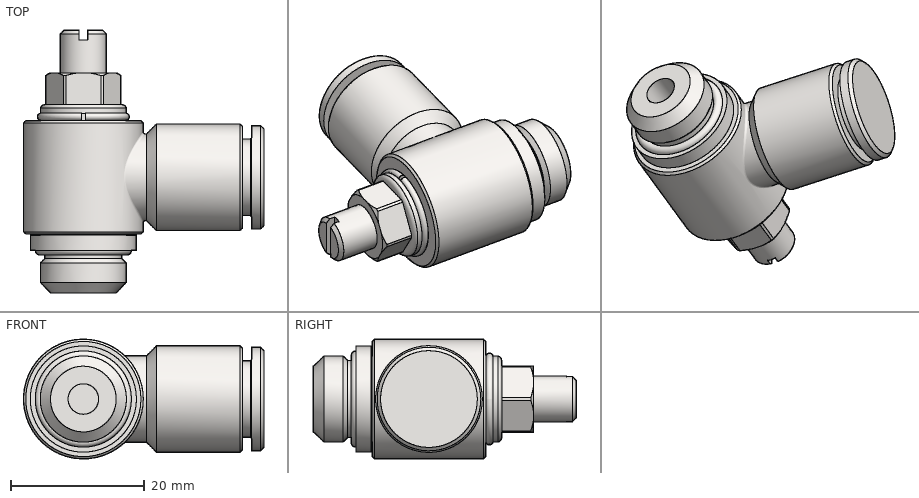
import cadquery as cq
import math


barrel_radius = 9.0
barrel_half_length = 8.55
barrel_chamfer = 0.35

elbow_radius = 6.5
elbow_fillet = 0.3
port_radius = 8.02
port_start = 9.5
port_end = 23.95
port_chamfer = 0.4
collar_neck_radius = 5.75
collar_root_radius = 5.95
collar_root_start = 25.1
collar_start = 25.3
collar_radius = 7.8
collar_end = 27.15
collar_chamfer = 0.5

shank_radius = 6.48
groove_radius = 5.8

tip_end = -17.4
tip_end_radius = 4.95
tip_chamfer_top = -15.75
tip_shoulder = -12.9
tip_hole_radius = 2.3
tip_hole_depth = 4.75

flange_radius = 8.0
flange_top = -8.7
flange_bottom = -11.0
bead_radius = 0.7

ring_section_radius = 0.55
ring_outer_radius = 6.9
ring_gap = 0.6
ring_neck_radius = 6.12
shoulder_bottom = 9.55
shoulder_top = 10.95
shoulder_round_length = 0.55
shoulder_top_radius = 5.73

hex_across_flats = 10.0
hex_corner_radius = 5.65
hex_top = 15.7
hex_chamfer_radius = 5.05
hex_chamfer_length = 0.4
screw_radius = 3.48
screw_chamfer = 0.6
screw_end = 22.13
slot_width = 1.25
slot_depth = 1.45


def cylinder_along_y(radius, y_start, y_end):
    """Cylinder on the stem axis between two Y stations."""
    return cq.Workplane("XZ", origin=(0, y_start, 0)).circle(radius).extrude(y_start - y_end)


def make_barrel():
    barrel = cylinder_along_y(barrel_radius, -barrel_half_length, barrel_half_length)
    return barrel.faces("<Y or >Y").edges().chamfer(barrel_chamfer)


def make_elbow():
    """Cylindrical neck from the barrel centre out to the port."""
    return cq.Workplane("YZ").circle(elbow_radius).extrude(port_start)


def make_port():
    """Port with a conical back, followed by the grooved release collar."""
    profile = [
        (port_start, 0),
        (port_start, elbow_radius),
        (port_start + port_radius - elbow_radius, port_radius),
        (port_end - port_chamfer, port_radius),
        (port_end, port_radius - port_chamfer),
        (port_end, collar_neck_radius),
        (collar_root_start, collar_neck_radius),
        (collar_start, collar_root_radius),
        (collar_start, collar_radius),
        (collar_end - collar_chamfer, collar_radius),
        (collar_end, collar_radius - collar_chamfer),
        (collar_end, 0),
    ]
    return cq.Workplane("XY").polyline(profile).close().revolve(360, (0, 0, 0), (1, 0, 0))


def make_housing():
    body = make_barrel().union(make_elbow())
    junction = cq.selectors.BoxSelector(
        (elbow_radius / 2, -barrel_half_length, -barrel_radius),
        (port_start - elbow_fillet / 2, barrel_half_length, barrel_radius),
    )
    body = body.edges(junction).edges("(not %CIRCLE) and (not %LINE)").fillet(elbow_fillet)
    bore = cylinder_along_y(shank_radius, -barrel_half_length, barrel_half_length)
    return body.union(make_port()).cut(bore).solids()


def make_turned_stem():
    """Revolved core of the stem, from the threaded tip to the shoulder."""
    bead_centre = groove_radius + bead_radius
    return (
        cq.Workplane("XY")
        .moveTo(0, shoulder_top)
        .lineTo(shoulder_top_radius, shoulder_top)
        .tangentArcPoint((shank_radius, shoulder_top - shoulder_round_length), relative=False)
        .lineTo(shank_radius, shoulder_bottom)
        .lineTo(ring_neck_radius, shoulder_bottom)
        .lineTo(ring_neck_radius, barrel_half_length)
        .lineTo(shank_radius, barrel_half_length)
        .lineTo(shank_radius, flange_top)
        .lineTo(flange_radius, flange_top)
        .lineTo(flange_radius, flange_bottom)
        .lineTo(bead_centre + bead_radius, flange_bottom)
        .threePointArc((bead_centre, flange_bottom - bead_radius), (groove_radius, flange_bottom))
        .lineTo(groove_radius, tip_shoulder + shank_radius - groove_radius)
        .lineTo(shank_radius, tip_shoulder)
        .lineTo(shank_radius, tip_chamfer_top)
        .lineTo(tip_end_radius, tip_end)
        .lineTo(0, tip_end)
        .close()
        .revolve(360, (0, 0, 0), (0, 1, 0))
    )


def make_retaining_ring():
    """Round-section ring seated on the barrel under the shoulder, split on the +Z side."""
    section_centre = ring_outer_radius - ring_section_radius
    ring_y = barrel_half_length + ring_section_radius
    ring = (
        cq.Workplane("XY")
        .center(section_centre, ring_y)
        .circle(ring_section_radius)
        .revolve(360, (-section_centre, 0, 0), (-section_centre, 1, 0))
    )
    gap = cq.Workplane("XY", origin=(0, ring_y, 0)).rect(ring_gap, 2 * ring_section_radius)
    return ring.cut(gap.extrude(ring_outer_radius))


def make_hexagon():
    """Hexagon with flats on +Z and -Z, corners turned to a cylinder and a chamfered top."""
    across_corners = hex_across_flats / math.cos(math.pi / 6)
    length = hex_top - shoulder_top
    prism = cq.Workplane("XZ", origin=(0, shoulder_top, 0)).polygon(6, across_corners).extrude(-length)
    envelope = [
        (0, shoulder_top),
        (hex_corner_radius, shoulder_top),
        (hex_corner_radius, hex_top - hex_chamfer_length),
        (hex_chamfer_radius, hex_top),
        (0, hex_top),
    ]
    return prism.intersect(cq.Workplane("XY").polyline(envelope).close().revolve(360, (0, 0, 0), (0, 1, 0)))


def make_screw_end():
    """Chamfered screw end with a driver slot running along Z."""
    screw = cylinder_along_y(screw_radius, hex_top, screw_end).faces(">Y").edges().chamfer(screw_chamfer)
    slot = cq.Workplane("XY", origin=(0, screw_end - slot_depth / 2, 0))
    return screw.cut(slot.box(slot_width, slot_depth, 2 * screw_radius))


def make_stem():
    stem = make_turned_stem().union(make_retaining_ring()).union(make_hexagon()).union(make_screw_end())
    return stem.cut(cylinder_along_y(tip_hole_radius, tip_end, tip_end + tip_hole_depth)).solids()


housing = make_housing()
stem = make_stem()

result = cq.Compound.makeCompound([housing.val(), stem.val()])